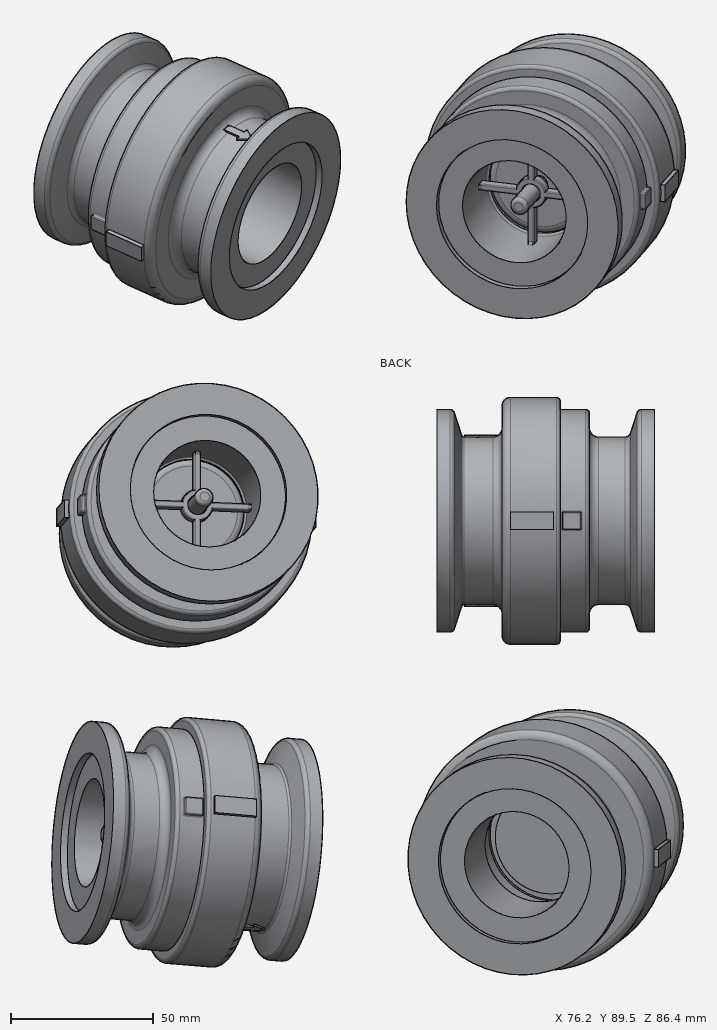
import cadquery as cq
import math


VALVE_LENGTH = 76.2
PAD_TO_PAD = 89.5
COLLAR_RADIUS = 86.4 / 2
FLANGE_RADIUS = 78.0 / 2
NECK_RADIUS = 58.7 / 2

RIM_STRAIGHT = 4.6
RIM_ROUND = 1.7
CONE_ANGLE = math.radians(18)
INLET_NECK_ROUND = 2.1
OUTLET_NECK_ROUND = 0.9
GASKET_RECESS_RADIUS = 55.6 / 2
GASKET_RECESS_DEPTH = 2.5

SHOULDER_START = 22.8
SHOULDER_ROUND = 1.4
JOINT_X = 33.0
COLLAR_END = 53.4
COLLAR_INLET_ROUND = 1.3
COLLAR_OUTLET_ROUND = 2.95
BODY_NECK_FILLET = 3.2

BORE_RADIUS = 38.1 / 2
THROAT_RADIUS = 36.5 / 2
THROAT_FRONT = 30.0
THROAT_BACK = 31.3
BORE_FILLET = BORE_RADIUS - THROAT_RADIUS
CHAMBER_RADIUS = 44.5 / 2
CHAMBER_END = 48.3

SPIDER_FRONT = 21.1
SPIDER_THICKNESS = 3.6
SPIDER_BACK = SPIDER_FRONT + SPIDER_THICKNESS
SPOKE_WIDTH = 2.3
SPOKE_ROUND = 0.4
HUB_RADIUS = 5.55
GUIDE_HOLE_RADIUS = 6.9 / 2

STEM_RADIUS = 6.35 / 2
STEM_TIP_X = 7.2
STEM_TIP_ROUND = 1.5
DISC_RADIUS = BORE_RADIUS
DISC_FACE_RADIUS = 31.85 / 2
DISC_ROUND = DISC_RADIUS - DISC_FACE_RADIUS
OPENING_GAP = 0.2
SEAT_DEPTH = DISC_ROUND - math.sqrt(DISC_ROUND**2 - (THROAT_RADIUS - DISC_FACE_RADIUS) ** 2)
DISC_FRONT = THROAT_BACK + OPENING_GAP - SEAT_DEPTH
DISC_THICKNESS = 5.4

ROOT_DEPTH = 0.9
TAB_START = 25.8
TAB_LENGTH = 6.5
TAB_WIDTH = 6.3
TAB_TOP = 40.6
TAB_CORNER = 0.6
TAB_ROUND = 0.4
PAD_START = 35.3
PAD_LENGTH = 15.1
PAD_WIDTH = 6.3
ARROW_START = 54.9
ARROW_TIP = 66.5
ARROW_HEAD_START = 61.55
ARROW_SHAFT_WIDTH = 3.0
ARROW_HEAD_WIDTH = 6.3
ARROW_TOP = 30.0


def revolve_about_x(profile):
    """Revolve a profile of axial position and radius once around the X axis."""
    return profile.close().revolve(360, (0, 0, 0), (1, 0, 0))


def cylinder_x(radius, start, end):
    return cq.Workplane("YZ", origin=(start, 0, 0)).circle(radius).extrude(end - start)


def rounded_arc(profile, center, radius, start_angle, end_angle):
    """Add an arc given by its center, radius and end angles."""
    def point(angle):
        return (center[0] + radius * math.cos(angle), center[1] + radius * math.sin(angle))

    middle_angle = (start_angle + end_angle) / 2
    return profile.lineTo(*point(start_angle)).threePointArc(point(middle_angle), point(end_angle))


def flange(neck_round, neck_end):
    """Clamp flange with its outer face at X = 0, a conical back and a plain neck."""
    half_turn = (math.pi / 2 - CONE_ANGLE) / 2
    cone_top = RIM_STRAIGHT + RIM_ROUND * math.tan(half_turn)
    cone_foot = cone_top + (FLANGE_RADIUS - NECK_RADIUS) * math.tan(CONE_ANGLE)
    neck_start = cone_foot + neck_round * math.tan(half_turn)

    profile = cq.Workplane("XY").moveTo(0, 0).lineTo(0, FLANGE_RADIUS)
    profile = rounded_arc(
        profile, (RIM_STRAIGHT, FLANGE_RADIUS - RIM_ROUND), RIM_ROUND, math.pi / 2, CONE_ANGLE
    )
    profile = rounded_arc(
        profile, (neck_start, NECK_RADIUS + neck_round), neck_round,
        math.pi + CONE_ANGLE, 1.5 * math.pi
    )
    profile = profile.lineTo(neck_end, NECK_RADIUS).lineTo(neck_end, 0)
    return revolve_about_x(profile)


def gasket_recess():
    return cylinder_x(GASKET_RECESS_RADIUS, 0, GASKET_RECESS_DEPTH)


def mirror_to_outlet(shape):
    """Turn a shape end for end, so that its X = 0 face becomes the outlet face."""
    return shape.mirror("YZ").translate((VALVE_LENGTH, 0, 0))


def shoulder():
    """Wide end of the inlet housing, blended into the neck."""
    foot = SHOULDER_START - BODY_NECK_FILLET
    profile = cq.Workplane("XY").moveTo(foot, 0)
    profile = rounded_arc(
        profile, (foot, NECK_RADIUS + BODY_NECK_FILLET), BODY_NECK_FILLET, -math.pi / 2, 0
    )
    profile = rounded_arc(
        profile, (SHOULDER_START + SHOULDER_ROUND, FLANGE_RADIUS - SHOULDER_ROUND),
        SHOULDER_ROUND, math.pi, math.pi / 2
    )
    profile = profile.lineTo(JOINT_X, FLANGE_RADIUS).lineTo(JOINT_X, 0)
    return revolve_about_x(profile)


def collar():
    """Wide end of the outlet housing, blended into the neck."""
    foot = COLLAR_END + BODY_NECK_FILLET
    profile = cq.Workplane("XY").moveTo(JOINT_X, 0)
    profile = rounded_arc(
        profile, (JOINT_X + COLLAR_INLET_ROUND, COLLAR_RADIUS - COLLAR_INLET_ROUND),
        COLLAR_INLET_ROUND, math.pi, math.pi / 2
    )
    profile = rounded_arc(
        profile, (COLLAR_END - COLLAR_OUTLET_ROUND, COLLAR_RADIUS - COLLAR_OUTLET_ROUND),
        COLLAR_OUTLET_ROUND, math.pi / 2, 0
    )
    profile = rounded_arc(
        profile, (foot, NECK_RADIUS + BODY_NECK_FILLET), BODY_NECK_FILLET, math.pi, 1.5 * math.pi
    )
    profile = profile.lineTo(foot, 0)
    return revolve_about_x(profile)


def inlet_passage():
    """Inlet bore, its filleted step down to the throat, and the chamber behind it."""
    profile = cq.Workplane("XY").moveTo(0, 0).lineTo(0, BORE_RADIUS)
    profile = rounded_arc(
        profile, (THROAT_FRONT - BORE_FILLET, THROAT_RADIUS), BORE_FILLET, math.pi / 2, 0
    )
    profile = profile.lineTo(THROAT_BACK, THROAT_RADIUS).lineTo(THROAT_BACK, CHAMBER_RADIUS)
    profile = profile.lineTo(JOINT_X, CHAMBER_RADIUS).lineTo(JOINT_X, 0)
    return revolve_about_x(profile)


def spoke_pair(front, thickness, width):
    """Bar along Y, long enough to end inside the housing wall on both sides."""
    wall_middle = (BORE_RADIUS + NECK_RADIUS) / 2
    return cq.Workplane("XY", origin=(front + thickness / 2, 0, 0)).box(thickness, 2 * wall_middle, width)


def spoke_end_fillet():
    """Ring of concave fillet between the bore wall and the front plane of the spokes."""
    profile = cq.Workplane("XY").moveTo(SPIDER_FRONT, BORE_RADIUS)
    profile = rounded_arc(
        profile, (SPIDER_FRONT - BORE_FILLET, THROAT_RADIUS), BORE_FILLET, 0, math.pi / 2
    )
    return revolve_about_x(profile)


def spider():
    """Four spokes with a central hub that guides the poppet stem."""
    bar = spoke_pair(SPIDER_FRONT, SPIDER_THICKNESS, SPOKE_WIDTH).edges("|Y and <X").fillet(SPOKE_ROUND)
    flat_width = SPOKE_WIDTH - 2 * SPOKE_ROUND
    end_fillets = spoke_end_fillet().intersect(
        spoke_pair(SPIDER_FRONT - BORE_FILLET, BORE_FILLET, flat_width)
    )
    bar = bar.union(end_fillets)
    crossed_bar = bar.rotate((0, 0, 0), (1, 0, 0), 90)
    hub = cylinder_x(HUB_RADIUS, SPIDER_FRONT, SPIDER_BACK).edges("<X").fillet(SPOKE_ROUND)
    guide_hole = cylinder_x(GUIDE_HOLE_RADIUS, SPIDER_FRONT, SPIDER_BACK)
    return hub.union(bar).union(crossed_bar).cut(guide_hole)


def tab():
    """Small raised tab on the -Y side of the shoulder, with rounded edges."""
    root = FLANGE_RADIUS - ROOT_DEPTH
    return (
        cq.Workplane("XZ", origin=(TAB_START + TAB_LENGTH / 2, -root, 0))
        .rect(TAB_LENGTH, TAB_WIDTH)
        .extrude(TAB_TOP - root)
        .edges("|Y").fillet(TAB_CORNER)
        .faces("<Y").edges().fillet(TAB_ROUND)
    )


def pad():
    """Flat pad on the -Y side of the collar."""
    root = COLLAR_RADIUS - ROOT_DEPTH
    return (
        cq.Workplane("XZ", origin=(PAD_START + PAD_LENGTH / 2, -root, 0))
        .rect(PAD_LENGTH, PAD_WIDTH)
        .extrude(PAD_TO_PAD / 2 - root)
    )


def flow_arrow():
    """Raised arrow on top of the outlet neck, pointing downstream."""
    root = NECK_RADIUS - ROOT_DEPTH
    shaft = ARROW_SHAFT_WIDTH / 2
    head = ARROW_HEAD_WIDTH / 2
    return (
        cq.Workplane("XY", origin=(0, 0, root))
        .polyline([
            (ARROW_START, -shaft), (ARROW_HEAD_START, -shaft), (ARROW_HEAD_START, -head),
            (ARROW_TIP, 0),
            (ARROW_HEAD_START, head), (ARROW_HEAD_START, shaft), (ARROW_START, shaft),
        ])
        .close()
        .extrude(ARROW_TOP - root)
    )


def round_tab_feet(body):
    """Blend the foot of each tab into the shoulder."""
    reach = TAB_ROUND
    for side in (-1, 1):
        foot_box = cq.selectors.BoxSelector(
            (TAB_START - reach, side * (FLANGE_RADIUS - reach), -TAB_WIDTH / 2 - reach),
            (TAB_START + TAB_LENGTH + reach, side * (FLANGE_RADIUS + reach), TAB_WIDTH / 2 + reach),
        )
        body = body.edges(foot_box).fillet(TAB_ROUND)
    return body


def on_both_sides(body, feature, mirror_plane):
    """Add a feature to a body together with its mirror image."""
    return body.union(feature).union(feature.mirror(mirror_plane))


def make_inlet_housing():
    body = flange(INLET_NECK_ROUND, SHOULDER_START).union(shoulder())
    body = round_tab_feet(on_both_sides(body, tab(), "XZ"))
    body = body.cut(inlet_passage()).cut(gasket_recess())
    return body.union(spider())


def make_outlet_housing():
    neck_length = VALVE_LENGTH - COLLAR_END
    body = mirror_to_outlet(flange(OUTLET_NECK_ROUND, neck_length)).union(collar())
    body = on_both_sides(body, pad(), "XZ")
    body = on_both_sides(body, flow_arrow(), "XY")
    body = body.cut(cylinder_x(CHAMBER_RADIUS, JOINT_X, CHAMBER_END))
    body = body.cut(cylinder_x(BORE_RADIUS, CHAMBER_END, VALVE_LENGTH))
    return body.cut(mirror_to_outlet(gasket_recess()))


def make_poppet():
    """Stem with a rounded tip and a disc whose rounded rim closes the throat."""
    stem = cylinder_x(STEM_RADIUS, STEM_TIP_X, DISC_FRONT).edges("<X").fillet(STEM_TIP_ROUND)
    disc = cylinder_x(DISC_RADIUS, DISC_FRONT, DISC_FRONT + DISC_THICKNESS)
    return disc.edges("<X").fillet(DISC_ROUND).union(stem)


inlet_housing = make_inlet_housing()
outlet_housing = make_outlet_housing()
poppet = make_poppet()

result = cq.Compound.makeCompound([inlet_housing.val(), outlet_housing.val(), poppet.val()])